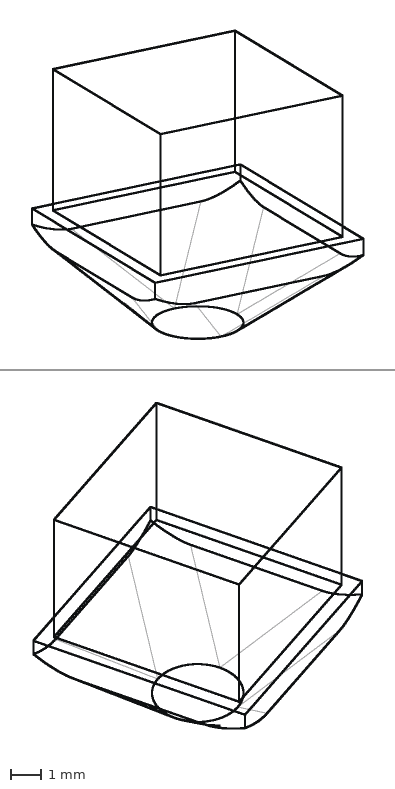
import cadquery as cq

total_height = 8.5
flange_width = 8.0
block_width = 6.995
block_height = 5.0

tip_radius = 1.51
flange_top = total_height - block_height


def side_profile(plane, tip_half_width):
    """Prism with 45 degree sides, starting at the given half width at the tip."""
    top_half_width = tip_half_width + flange_top
    outline = [(-top_half_width, flange_top), (top_half_width, flange_top), (tip_half_width, 0)]
    if tip_half_width > 0:
        outline.append((-tip_half_width, 0))
    return cq.Workplane(plane).polyline(outline).close().extrude(flange_width, both=True)


def leaning_corner(x_sign, y_sign):
    """Oblique cylinder forming one rounded corner of the foot."""
    return (
        cq.Workplane("XY")
        .circle(tip_radius)
        .workplane(offset=flange_top)
        .center(x_sign * flange_top, y_sign * flange_top)
        .circle(tip_radius)
        .loft(ruled=True)
    )


foot = side_profile("XZ", tip_radius).intersect(side_profile("YZ", 0))
foot = foot.union(side_profile("XZ", 0).intersect(side_profile("YZ", tip_radius)))

for x_sign in (-1, 1):
    for y_sign in (-1, 1):
        foot = foot.union(leaning_corner(x_sign, y_sign))

flange = cq.Workplane("XY").box(flange_width, flange_width, flange_top, centered=(True, True, False))
foot = foot.intersect(flange)

block = (
    cq.Workplane("XY")
    .workplane(offset=flange_top)
    .rect(block_width, block_width)
    .extrude(block_height)
)

result = foot.union(block)